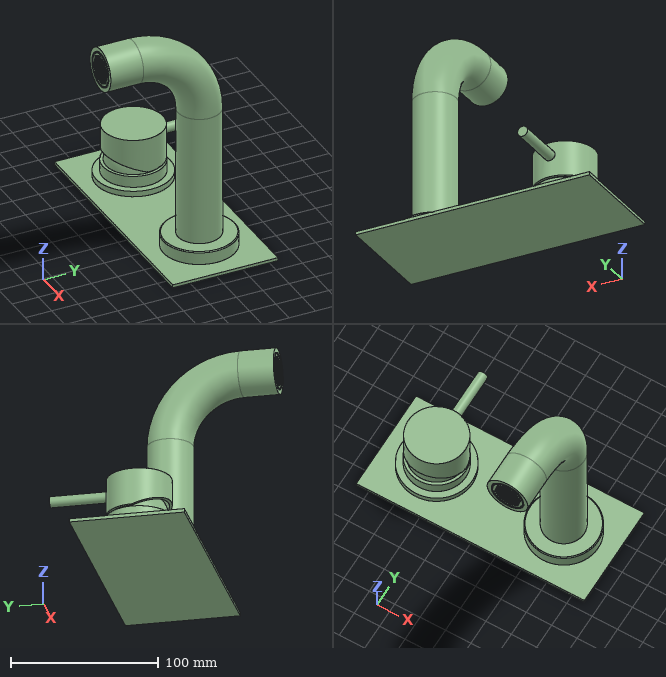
import cadquery as cq
import math

plate_length = 180
plate_width = 80.0
plate_thickness = 2.5

end_to_axis = 40.0
valve_x = end_to_axis
spout_x = plate_length - end_to_axis

valve_flange_radius = 28.0
valve_flange_height = 4.3
collar_radius = 22.9
collar_top_z = plate_thickness + 13.0
ball_radius = 20.5

handle_radius = 22.5
handle_gap = 1.8
handle_bottom_z = collar_top_z + handle_gap
handle_top_z = plate_thickness + 41.2
slant_rise = 8.6
lever_radius = 4.0
lever_z = plate_thickness + 31.1
lever_reach = 61.5

spout_flange_radius = 27
spout_flange_height = 9.9
spout_flange_chamfer = 0.7

spout_radius = 16.0
overall_height = 177.0
outlet_z = overall_height - spout_radius
bend_radius = 50.0
outlet_reach = 74.9

recess_radius = 12.8
recess_depth = 5.4
groove_width = 0.9
groove_depth = 0.9
mesh_radius = 10.5
mesh_pitch = 1.5
mesh_hole_radius = 0.4
mesh_depth = 0.9
mesh_angle = -14.5


def make_plate():
    return cq.Workplane("XY").box(
        plate_length, plate_width, plate_thickness, centered=(False, True, False)
    )


def make_valve_base():
    flange = (
        cq.Workplane("XY", origin=(valve_x, 0, plate_thickness))
        .circle(valve_flange_radius)
        .extrude(valve_flange_height)
    )
    collar = (
        cq.Workplane("XY", origin=(valve_x, 0, plate_thickness))
        .circle(collar_radius)
        .extrude(collar_top_z - plate_thickness)
    )
    half_ball = cq.Workplane("XY", origin=(valve_x, 0, collar_top_z)).sphere(
        ball_radius, angle1=0
    )
    return flange.union(collar).union(half_ball)


def make_handle():
    cup = (
        cq.Workplane("XY", origin=(valve_x, 0, handle_bottom_z))
        .circle(handle_radius)
        .extrude(handle_top_z - handle_bottom_z)
    )
    lever = (
        cq.Workplane("XZ", origin=(valve_x, 0, lever_z))
        .circle(lever_radius)
        .extrude(-lever_reach)
    )
    cavity = (
        cq.Workplane("XY", origin=(valve_x, 0, collar_top_z))
        .circle(ball_radius)
        .extrude(ball_radius)
    )
    slant = (
        cq.Workplane("YZ", origin=(valve_x, 0, handle_bottom_z))
        .polyline([(0, 0), (-handle_radius, slant_rise), (-handle_radius, 0)])
        .close()
        .extrude(handle_radius, both=True)
    )
    return cup.union(lever).cut(cavity).cut(slant)


def make_spout_flange():
    return (
        cq.Workplane("XY", origin=(spout_x, 0, plate_thickness))
        .circle(spout_flange_radius)
        .circle(spout_radius)
        .extrude(spout_flange_height)
        .faces(">Z")
        .edges(cq.selectors.RadiusNthSelector(-1))
        .chamfer(spout_flange_chamfer)
    )


def make_spout():
    bend_start_z = outlet_z - bend_radius
    path = (
        cq.Workplane("YZ", origin=(spout_x, 0, 0))
        .moveTo(0, plate_thickness)
        .lineTo(0, bend_start_z)
        .radiusArc((-bend_radius, outlet_z), -bend_radius)
        .lineTo(-outlet_reach, outlet_z)
    )
    bar = (
        cq.Workplane("XY", origin=(spout_x, 0, plate_thickness))
        .circle(spout_radius)
        .sweep(path)
    )
    recess = (
        cq.Workplane("XZ", origin=(spout_x, -outlet_reach, outlet_z))
        .circle(recess_radius)
        .extrude(-recess_depth)
    )
    return bar.cut(recess)


def make_aerator():
    outlet_face = cq.Workplane("XZ", origin=(spout_x, -outlet_reach, outlet_z))
    disc = outlet_face.circle(recess_radius).extrude(-recess_depth)
    groove = (
        outlet_face.circle(recess_radius)
        .circle(recess_radius - groove_width)
        .extrude(-groove_depth)
    )
    steps = math.ceil(mesh_radius / mesh_pitch)
    grid = [i * mesh_pitch for i in range(-steps, steps + 1)]
    centre_limit = mesh_radius - mesh_hole_radius
    hole_centres = [(x, y) for x in grid for y in grid if math.hypot(x, y) < centre_limit]
    holes = (
        outlet_face.transformed(rotate=(0, 0, mesh_angle))
        .pushPoints(hole_centres)
        .circle(mesh_hole_radius)
        .extrude(-mesh_depth)
    )
    return disc.cut(groove).cut(holes)


plate = make_plate()
valve_base = make_valve_base()
handle = make_handle()
spout_flange = make_spout_flange()
spout = make_spout()
aerator = make_aerator()

result = cq.Compound.makeCompound(
    [
        plate.val(),
        valve_base.val(),
        handle.val(),
        spout_flange.val(),
        spout.val(),
        aerator.val(),
    ]
)